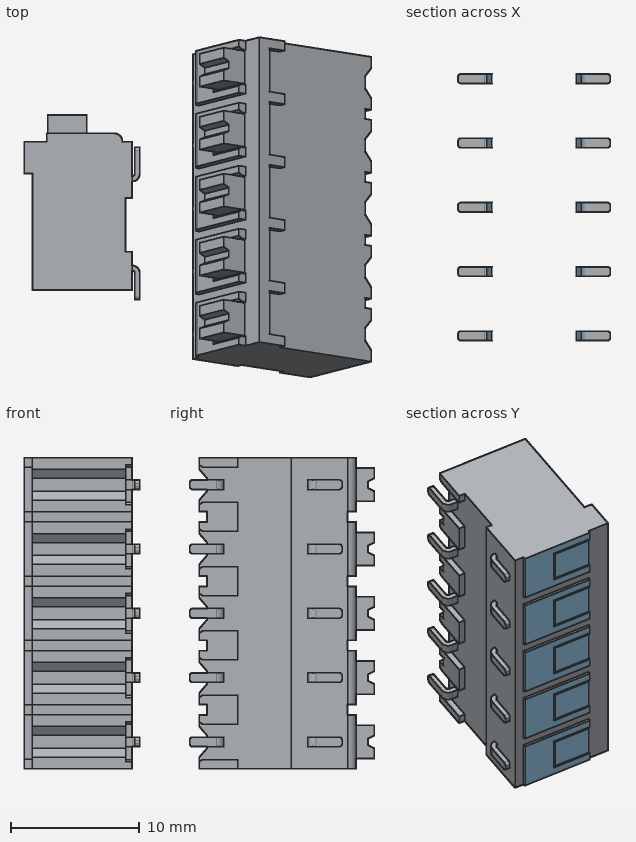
import cadquery as cq

cell_count = 5
pitch = 5.0
height = 24.2
cell_height = height - (cell_count - 1) * pitch
gap = pitch - cell_height
first_center = cell_height / 2
cell_centers = [first_center + i * pitch for i in range(cell_count)]
gap_centers = [z + pitch / 2 for z in cell_centers[:-1]]

body_left = 0.65
body_right = 8.4
flange_bottom = 9.05
shoulder_y = 11.55
land_left = 1.75
land_right = 7.65
land_top = 12.2
notch_bottom = 3.0
notch_top = 7.15
relief_depth = 0.5
relief_floor = body_right - relief_depth

window_top = 10.55
end_rib = 0.75

groove_depth = 0.6
groove_mouth = 2.4
groove_floor = 1.0

recess_width = 2.75
flare_width = 3.1
flare_depth = 0.25
tab_recess_right = 5.0

tab_left = 1.83
tab_right = 4.88
tab_top = 13.63
tab_width = 2.6
tab_notch_depth = 0.5
tab_notch_mouth = 1.0
tab_notch_floor = 0.5

pin_face = 9.0
pin_thickness = 0.4
pin_width = 0.75
pin_length = 2.67
pin_outer_radius = pin_face - body_right
pin_inner_radius = pin_outer_radius - pin_thickness
pin_tip_radius = 0.25
pin_embedment = 0.4
lower_pin_tip = -0.75
upper_pin_tip = 11.12


def box_between(x_range, y_range, z_range):
    """Box spanning the given coordinate ranges."""
    size = [end - start for start, end in (x_range, y_range, z_range)]
    corner = (x_range[0], y_range[0], z_range[0])
    return cq.Workplane("XY").box(*size, centered=False).translate(corner)


def extrude_along_x(points, x_start, x_end):
    """Prism along X over an outline of (Y, Z) points."""
    prism = cq.Workplane("YZ").polyline(points).close().extrude(x_end - x_start)
    return prism.translate((x_start, 0, 0))


def band(center, width):
    """Coordinate range of a width about a centre."""
    return (center - width / 2, center + width / 2)


def make_housing():
    """Stepped housing with a rounded top land and a relief in the +X side."""
    land_radius = land_top - shoulder_y
    outline = (
        cq.Workplane("XY")
        .moveTo(body_left, 0)
        .lineTo(body_right, 0)
        .lineTo(body_right, notch_bottom)
        .lineTo(relief_floor, notch_bottom)
        .lineTo(relief_floor, notch_top)
        .lineTo(body_right, notch_top)
        .lineTo(body_right, shoulder_y)
        .lineTo(land_right, shoulder_y)
        .radiusArc((land_right - land_radius, land_top), -land_radius)
        .lineTo(land_left, land_top)
        .lineTo(land_left, shoulder_y)
        .lineTo(0, shoulder_y)
        .lineTo(0, flange_bottom)
        .lineTo(body_left, flange_bottom)
        .close()
    )
    return outline.extrude(height)


def make_window(z):
    """Opening in the flange beside one cell; the outermost windows stop at an end rib."""
    z_start = max(z - cell_height / 2, end_rib)
    z_end = min(z + cell_height / 2, height - end_rib)
    return box_between((0, body_left), (flange_bottom, window_top), (z_start, z_end))


def make_cell_groove(z):
    """Trapezoidal groove along X in the lower face."""
    points = [
        (0, z - groove_mouth / 2),
        (groove_depth, z - groove_floor / 2),
        (groove_depth, z + groove_floor / 2),
        (0, z + groove_mouth / 2),
    ]
    return extrude_along_x(points, body_left, body_right)


def make_flared_recess(z, y_mouth, y_floor, x_start, x_end):
    """Recess that narrows from a flared mouth and runs straight to its floor."""
    inward = 1 if y_floor > y_mouth else -1
    y_neck = y_mouth + inward * flare_depth
    points = [
        (y_mouth, z - flare_width / 2),
        (y_neck, z - recess_width / 2),
        (y_floor, z - recess_width / 2),
        (y_floor, z + recess_width / 2),
        (y_neck, z + recess_width / 2),
        (y_mouth, z + flare_width / 2),
    ]
    return extrude_along_x(points, x_start, x_end)


def make_tab(z):
    """Tab standing on the shoulder, with a tapered notch in its top edge."""
    notch_y = tab_top - tab_notch_depth
    points = [
        (shoulder_y, z - tab_width / 2),
        (tab_top, z - tab_width / 2),
        (tab_top, z - tab_notch_mouth / 2),
        (notch_y, z - tab_notch_floor / 2),
        (notch_y, z + tab_notch_floor / 2),
        (tab_top, z + tab_notch_mouth / 2),
        (tab_top, z + tab_width / 2),
        (shoulder_y, z + tab_width / 2),
    ]
    return extrude_along_x(points, tab_left, tab_right)


def make_pin(z, y_tip, direction):
    """Bent pin that leaves the +X side and ends at y_tip; direction is its sign along Y."""
    y_outer = y_tip - direction * pin_length
    y_inner = y_outer + direction * pin_thickness
    x_root = relief_floor - pin_embedment
    x_inner = pin_face - pin_thickness
    x_bend = pin_face - pin_outer_radius
    y_bend = y_outer + direction * pin_outer_radius
    outline = (
        cq.Workplane("XY")
        .moveTo(x_root, y_outer)
        .lineTo(x_bend, y_outer)
        .radiusArc((pin_face, y_bend), -direction * pin_outer_radius)
        .lineTo(pin_face, y_tip)
        .lineTo(x_inner, y_tip)
        .lineTo(x_inner, y_bend)
        .radiusArc((x_bend, y_inner), direction * pin_inner_radius)
        .lineTo(x_root, y_inner)
        .close()
    )
    pin = outline.extrude(pin_width).translate((0, 0, z - pin_width / 2))
    tip_side = ">Y" if direction > 0 else "<Y"
    return pin.faces(tip_side).edges("|X").fillet(pin_tip_radius)


result = make_housing()

for z in gap_centers:
    gap_band = band(z, gap)
    result = result.cut(box_between((body_left, body_right), (0, groove_depth), gap_band))
    result = result.cut(box_between((land_left, land_right), (shoulder_y, land_top), gap_band))

for z in cell_centers:
    result = result.cut(make_window(z))
    result = result.cut(make_cell_groove(z))
    result = result.cut(make_flared_recess(z, 0, notch_bottom, relief_floor, body_right))
    result = result.cut(make_flared_recess(z, land_top, shoulder_y, land_left, tab_recess_right))

for z in cell_centers:
    result = result.union(make_tab(z))
    result = result.union(make_pin(z, lower_pin_tip, -1))
    result = result.union(make_pin(z, upper_pin_tip, 1))